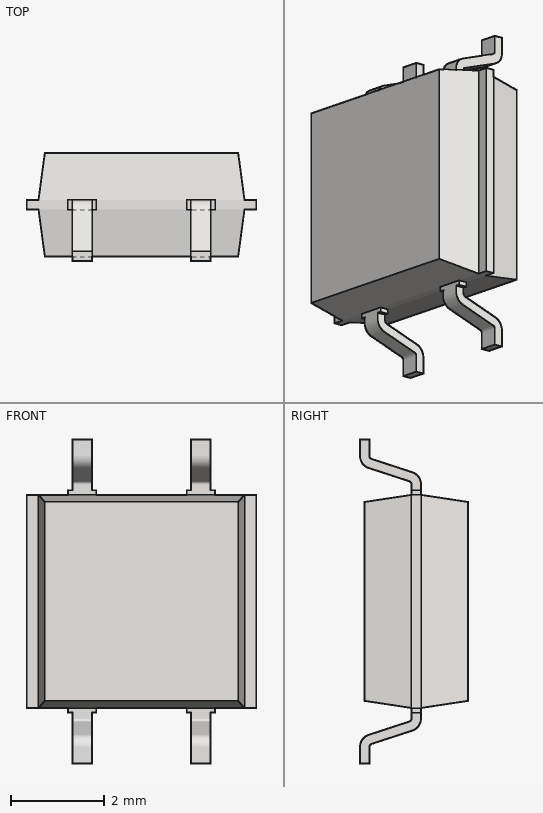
import cadquery as cq
import math

FLANGE_WIDTH = 4.92
BODY_HEIGHT = 4.57
FLANGE_THICKNESS = 0.21
BASE_WIDTH = 4.42
FACE_WIDTH = 4.15
FACE_HEIGHT = 4.27
HOUSING_DEPTH = 2.225

OVERALL_HEIGHT = 6.95
LEAD_THICKNESS = FLANGE_THICKNESS
LEAD_WIDTH = 0.425
LEAD_SPACING = 2.545
SHOULDER_WIDTH = 0.61
SHOULDER_HEIGHT = 0.1
FOOT_BOTTOM = -1.21
KNEE_Z = 2.635
ANKLE_Z = 2.995
INNER_BEND_RADIUS = 0.07
OUTER_BEND_RADIUS = INNER_BEND_RADIUS + LEAD_THICKNESS

HALF_LEAD = LEAD_THICKNESS / 2
LEAD_ROOT_Z = BODY_HEIGHT / 2
LEAD_TIP_Z = OVERALL_HEIGHT / 2
FOOT_Y = FOOT_BOTTOM + HALF_LEAD


def make_half(side):
    """Tapered half of the housing on the +Y (side = 1) or -Y (side = -1) side."""
    taper_depth = (HOUSING_DEPTH - FLANGE_THICKNESS) / 2
    return (
        cq.Workplane("XZ", origin=(0, side * FLANGE_THICKNESS / 2, 0))
        .rect(BASE_WIDTH, BODY_HEIGHT)
        .workplane(offset=-side * taper_depth)
        .rect(FACE_WIDTH, FACE_HEIGHT)
        .loft(ruled=True)
    )


def make_housing():
    flange = cq.Workplane("XY").box(FLANGE_WIDTH, FLANGE_THICKNESS, BODY_HEIGHT)
    return flange.union(make_half(1)).union(make_half(-1))


def make_strip():
    """Bent strip rising from the housing, centred on X = 0."""
    slope = math.atan2(ANKLE_Z - KNEE_Z, -FOOT_Y)
    bend_angle = math.pi / 2 - slope
    miter = HALF_LEAD * math.tan(bend_angle / 2)
    knee_outer = (HALF_LEAD, KNEE_Z + miter)
    knee_inner = (-HALF_LEAD, KNEE_Z - miter)
    ankle_outer = (FOOT_Y - HALF_LEAD, ANKLE_Z - miter)
    ankle_inner = (FOOT_Y + HALF_LEAD, ANKLE_Z + miter)
    strip = (
        cq.Workplane("YZ")
        .polyline([
            (HALF_LEAD, LEAD_ROOT_Z),
            knee_outer,
            ankle_inner,
            (FOOT_Y + HALF_LEAD, LEAD_TIP_Z),
            (FOOT_Y - HALF_LEAD, LEAD_TIP_Z),
            ankle_outer,
            knee_inner,
            (-HALF_LEAD, LEAD_ROOT_Z),
        ])
        .close()
        .extrude(LEAD_WIDTH / 2, both=True)
    )
    bends = [
        (knee_outer, OUTER_BEND_RADIUS),
        (ankle_outer, OUTER_BEND_RADIUS),
        (knee_inner, INNER_BEND_RADIUS),
        (ankle_inner, INNER_BEND_RADIUS),
    ]
    for (y, z), radius in bends:
        strip = strip.edges(cq.NearestToPointSelector((0, y, z))).fillet(radius)
    return strip


def make_lead(x, upper):
    shoulder = cq.Workplane("XY", origin=(0, 0, LEAD_ROOT_Z)).box(
        SHOULDER_WIDTH, LEAD_THICKNESS, SHOULDER_HEIGHT, centered=(True, True, False)
    )
    lead = make_strip().union(shoulder)
    if not upper:
        lead = lead.mirror("XY")
    return lead.translate((x, 0, 0))


housing = make_housing()
leads = [
    make_lead(x, upper)
    for x in (-LEAD_SPACING / 2, LEAD_SPACING / 2)
    for upper in (True, False)
]

result = cq.Compound.makeCompound([housing.val(), *[lead.val() for lead in leads]])